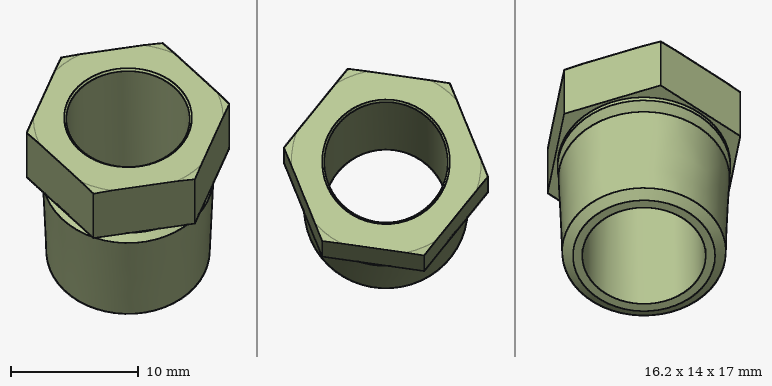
import cadquery as cq
import math

total_height = 17.0
hex_across_flats = 14.0
hex_height = 5.6
hex_across_corners = hex_across_flats / math.cos(math.pi / 6)

hex_face_radius = 7.45
hex_chamfer_drop = 0.08

collar_radius = 6.78
collar_height = 0.39

groove_width = 1.35
groove_root_radius = 5.8
groove_fillet_radius = 0.22
groove_flank_angle = math.radians(60)

spigot_top_radius = 6.72
spigot_bottom_radius = 6.43
end_chamfer_height = 0.5
end_chamfer_width = 0.85

bore_radius = 4.85
bore_chamfer = 0.17


def make_hexagon():
    """Hexagonal head with its top corners trimmed by a cone."""
    hex_bottom = total_height - hex_height
    corner_radius = hex_across_corners / 2
    prism = (
        cq.Workplane("XY")
        .workplane(offset=hex_bottom)
        .polygon(6, hex_across_corners)
        .extrude(hex_height)
    )
    envelope = (
        cq.Workplane("XZ")
        .moveTo(0, hex_bottom)
        .lineTo(corner_radius, hex_bottom)
        .lineTo(corner_radius, total_height - hex_chamfer_drop)
        .lineTo(hex_face_radius, total_height)
        .lineTo(0, total_height)
        .close()
        .revolve(360, (0, 0), (0, 1))
    )
    return prism.intersect(envelope)


def make_shank():
    """Collar, groove and tapered spigot as one turned body."""
    collar_top = total_height - hex_height
    collar_bottom = collar_top - collar_height
    spigot_top = collar_bottom - groove_width
    groove_middle = (collar_bottom + spigot_top) / 2
    root_half_width = groove_fillet_radius * math.sin(groove_flank_angle)
    flank_start_radius = groove_root_radius + groove_fillet_radius * (1 - math.cos(groove_flank_angle))
    return (
        cq.Workplane("XZ")
        .lineTo(spigot_bottom_radius - end_chamfer_width, 0)
        .lineTo(spigot_bottom_radius, end_chamfer_height)
        .lineTo(spigot_top_radius, spigot_top)
        .lineTo(flank_start_radius, groove_middle - root_half_width)
        .threePointArc(
            (groove_root_radius, groove_middle),
            (flank_start_radius, groove_middle + root_half_width),
        )
        .lineTo(collar_radius, collar_bottom)
        .lineTo(collar_radius, collar_top)
        .lineTo(0, collar_top)
        .close()
        .revolve(360, (0, 0), (0, 1))
    )


def make_bore():
    """Through bore widening to the chamfered mouth."""
    return (
        cq.Workplane("XZ")
        .lineTo(bore_radius, 0)
        .lineTo(bore_radius, total_height - bore_chamfer)
        .lineTo(bore_radius + bore_chamfer, total_height)
        .lineTo(0, total_height)
        .close()
        .revolve(360, (0, 0), (0, 1))
    )


result = make_hexagon().union(make_shank()).cut(make_bore())